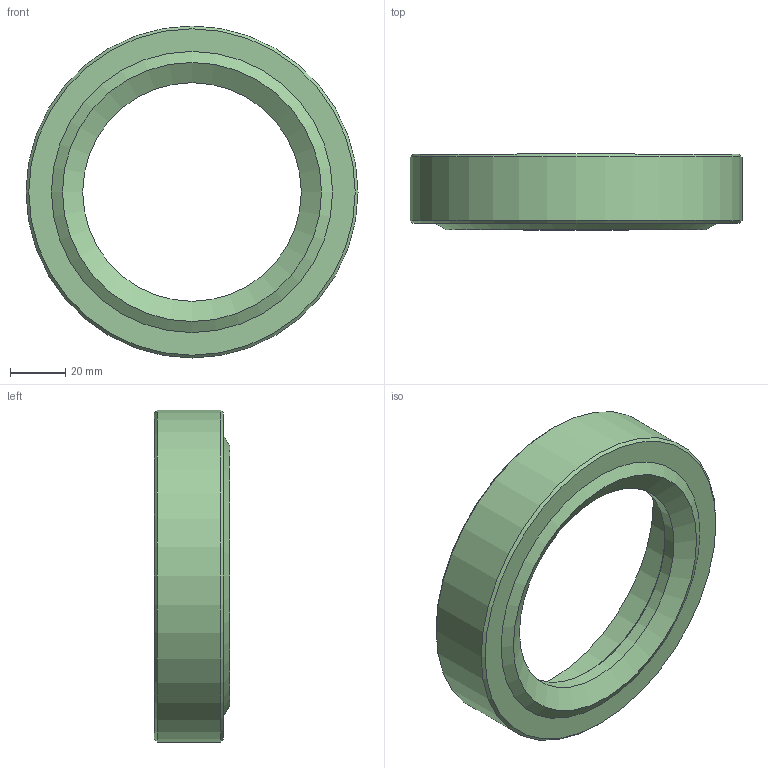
import cadquery as cq
import math


outer_radius = 60.0
body_width = 25.0
rim_chamfer = 1.0

collar_height = 2.3
collar_base_radius = 50.8
cone_half_angle = 60.0

bore_radius = 39.5
bore_land_length = 4.6
land_back_chamfer = 1.0
recess_radius = 52.0

cone_slope = math.tan(math.radians(cone_half_angle))
collar_tip_radius = collar_base_radius - collar_height * cone_slope
bore_cone_depth = (collar_tip_radius - bore_radius) / cone_slope

body_back = 0.0
body_front = body_back - body_width
collar_front = body_front - collar_height
land_front = collar_front + bore_cone_depth
land_back = land_front + bore_land_length
recess_floor = land_back + land_back_chamfer


def ring_section():
    """Half section in the XY plane, with X as the radius and Y as the axis."""
    rim_face_radius = outer_radius - rim_chamfer
    return (
        cq.Workplane("XY")
        .moveTo(recess_radius, body_back)
        .lineTo(rim_face_radius, body_back)
        .lineTo(outer_radius, body_back - rim_chamfer)
        .lineTo(outer_radius, body_front + rim_chamfer)
        .lineTo(rim_face_radius, body_front)
        .lineTo(collar_base_radius, body_front)
        .lineTo(collar_tip_radius, collar_front)
        .lineTo(bore_radius, land_front)
        .lineTo(bore_radius, land_back)
        .lineTo(bore_radius + land_back_chamfer, recess_floor)
        .lineTo(recess_radius, recess_floor)
        .close()
    )


def ring():
    """Full ring swept from the half section about the Y axis."""
    axis_start = (0, 0, 0)
    axis_end = (0, 1, 0)
    return ring_section().revolve(360, axis_start, axis_end)


result = ring()